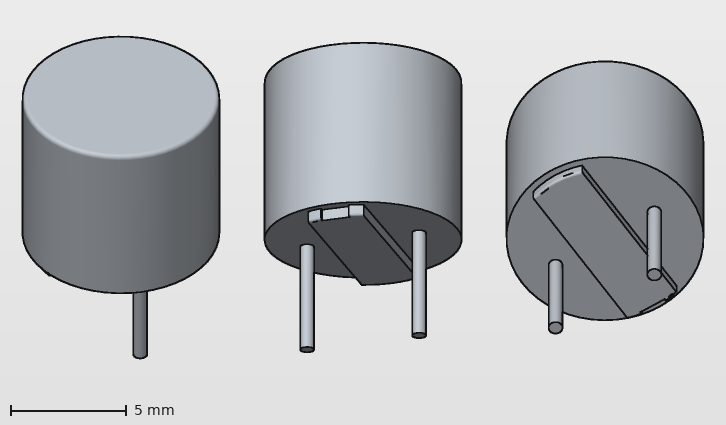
import cadquery as cq

TOTAL_HEIGHT = 12.3

CAN_DIAMETER = 8.5
CAN_HEIGHT = 7.5
CAN_TOP_FILLET = 0.2

FOOT_DIAMETER = 7.9
FOOT_HEIGHT = 0.5
FOOT_WIDTH = 2.51
FOOT_SLOT_WIDTH = 1.25
FOOT_SLOT_DEPTH = 0.2
FOOT_BOTTOM_FILLET = 0.11

PIN_DIAMETER = 0.6
PIN_PITCH = 5.08
PIN_LENGTH = TOTAL_HEIGHT - CAN_HEIGHT


def make_can():
    """Plain cylinder with a rounded top rim."""
    can = cq.Workplane("XY").circle(CAN_DIAMETER / 2).extrude(CAN_HEIGHT)
    return can.faces(">Z").edges().fillet(CAN_TOP_FILLET)


def make_foot():
    """Strip cut from a round disc, with a shallow notch in its -Y end."""
    radius = FOOT_DIAMETER / 2
    disc = cq.Workplane("XY").circle(radius).extrude(-FOOT_HEIGHT)
    disc = disc.faces("<Z").edges().fillet(FOOT_BOTTOM_FILLET)
    strip = cq.Workplane("XY").rect(FOOT_WIDTH, FOOT_DIAMETER).extrude(-FOOT_HEIGHT)
    slot = (
        cq.Workplane("XY")
        .center(0, -radius)
        .rect(FOOT_SLOT_WIDTH, 2 * FOOT_SLOT_DEPTH)
        .extrude(-FOOT_HEIGHT)
    )
    return disc.intersect(strip).cut(slot)


def make_pin(x):
    """Straight round pin hanging from the underside of the can."""
    return cq.Workplane("XY").center(x, 0).circle(PIN_DIAMETER / 2).extrude(-PIN_LENGTH)


can = make_can()
foot = make_foot()
pins = [make_pin(side * PIN_PITCH / 2) for side in (-1, 1)]

result = cq.Compound.makeCompound([can.val(), foot.val(), *[pin.val() for pin in pins]])